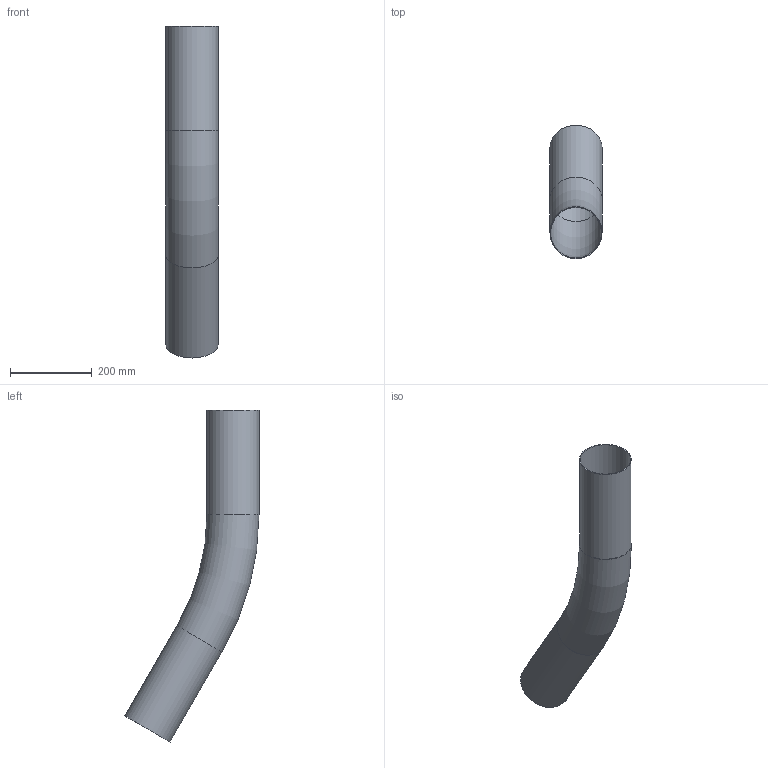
import cadquery as cq
import math

outer_diameter = 127.0
inner_diameter = 123.8
leg_length = 254.0
bend_radius = 609.6
bend_angle = 30.0


def centreline_point(angle_degrees):
    """Point on the bend's centreline, as (Y, Z), after turning by the given angle."""
    angle = math.radians(angle_degrees)
    return (bend_radius * (1 - math.cos(angle)), -bend_radius * math.sin(angle))


def tube_centreline():
    """Path from the top end down the vertical leg, round the bend and along the lower leg."""
    bend_start = centreline_point(0)
    bend_middle = centreline_point(bend_angle / 2)
    bend_end = centreline_point(bend_angle)
    tilt = math.radians(bend_angle)
    lower_end = (
        bend_end[0] + leg_length * math.sin(tilt),
        bend_end[1] - leg_length * math.cos(tilt),
    )
    return (
        cq.Workplane("YZ")
        .moveTo(0, leg_length)
        .lineTo(*bend_start)
        .threePointArc(bend_middle, bend_end)
        .lineTo(*lower_end)
    )


def tube():
    """Ring section at the top end, swept along the centreline."""
    return (
        cq.Workplane("XY")
        .workplane(offset=leg_length)
        .circle(outer_diameter / 2)
        .circle(inner_diameter / 2)
        .sweep(tube_centreline())
    )


result = tube()